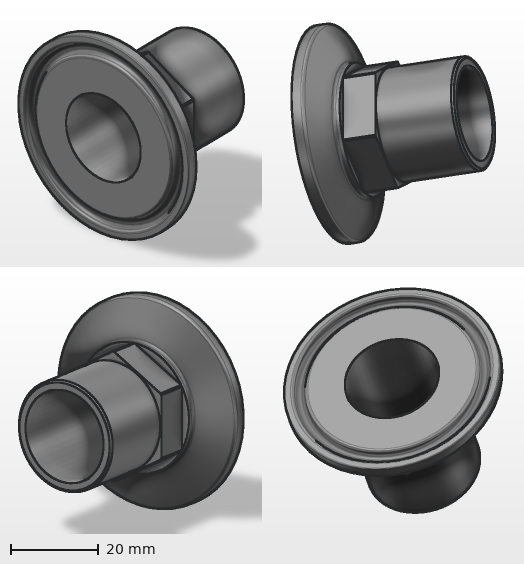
import cadquery as cq
import math


rim_land_end = 2.4
neck_land_start = 7.05
hex_start = 8.05
hex_end = 16.05
total_length = 35.0

rim_radius = 25.25
neck_radius = 15.5
pipe_radius = 13.25
bore_radius = 11.0
hex_apothem = 13.55
flange_blend = 0.8
cone_angle = math.radians(20)
face_edge_radius = 0.25
pipe_chamfer = 0.5

groove_mean_radius = 21.65
groove_half_width = 2.0
groove_depth = 1.6
groove_shoulder = 0.8


def arc_point(center, radius, angle):
    """Point on a circle in the (radius, Y) half-plane."""
    return (center[0] + radius * math.cos(angle), center[1] + radius * math.sin(angle))


def make_flange():
    """Revolved flange: rounded rim, conical back and short round neck."""
    blend_turn = math.pi / 2 - cone_angle
    rim_center = (rim_radius - flange_blend, rim_land_end)
    neck_center = (neck_radius + flange_blend, neck_land_start)
    edge_center = (rim_radius - face_edge_radius, face_edge_radius)
    return (
        cq.Workplane("XY")
        .moveTo(0, 0)
        .lineTo(edge_center[0], 0)
        .threePointArc(
            arc_point(edge_center, face_edge_radius, -math.pi / 4),
            (rim_radius, face_edge_radius),
        )
        .lineTo(rim_radius, rim_land_end)
        .threePointArc(
            arc_point(rim_center, flange_blend, blend_turn / 2),
            arc_point(rim_center, flange_blend, blend_turn),
        )
        .lineTo(*arc_point(neck_center, flange_blend, math.pi + blend_turn))
        .threePointArc(
            arc_point(neck_center, flange_blend, math.pi + blend_turn / 2),
            (neck_radius, neck_land_start),
        )
        .lineTo(neck_radius, hex_start)
        .lineTo(0, hex_start)
        .close()
        .revolve(360, (0, 0, 0), (0, 1, 0))
    )


def make_groove():
    """Ring cutter: a round groove joined tangentially to rounded shoulders."""
    radius_sum = (groove_half_width**2 + groove_depth**2) / (2 * groove_depth)
    groove_radius = radius_sum - groove_shoulder
    groove_center = (groove_mean_radius, groove_depth - groove_radius)
    inner_center = (groove_mean_radius - groove_half_width, groove_shoulder)
    outer_center = (groove_mean_radius + groove_half_width, groove_shoulder)
    tangent_angle = math.asin((groove_shoulder - groove_center[1]) / radius_sum)
    mid_angle = (tangent_angle + math.pi / 2) / 2
    return (
        cq.Workplane("XY")
        .moveTo(inner_center[0], 0)
        .threePointArc(
            arc_point(inner_center, groove_shoulder, -mid_angle),
            arc_point(inner_center, groove_shoulder, -tangent_angle),
        )
        .threePointArc(
            (groove_mean_radius, groove_depth),
            arc_point(groove_center, groove_radius, tangent_angle),
        )
        .threePointArc(
            arc_point(outer_center, groove_shoulder, math.pi + mid_angle),
            (outer_center[0], 0),
        )
        .close()
        .revolve(360, (0, 0, 0), (0, 1, 0))
    )


def make_cylinder(radius, start, end):
    """Solid cylinder on the Y axis between two stations."""
    return cq.Workplane("XZ", origin=(0, start, 0)).circle(radius).extrude(start - end)


def make_hexagon():
    """Hexagon with flats facing +X and -X and its corners turned to the neck radius."""
    corner_diameter = 2 * hex_apothem / math.cos(math.pi / 6)
    prism = (
        cq.Workplane("XZ", origin=(0, hex_start, 0))
        .transformed(rotate=(0, 0, 90))
        .polygon(6, corner_diameter)
        .extrude(hex_start - hex_end)
    )
    return prism.intersect(make_cylinder(neck_radius, hex_start, hex_end))


pipe = make_cylinder(pipe_radius, hex_end, total_length).faces(">Y").chamfer(pipe_chamfer)
bore = make_cylinder(bore_radius, 0, total_length)

result = make_flange().union(make_hexagon()).union(pipe).cut(make_groove()).cut(bore)